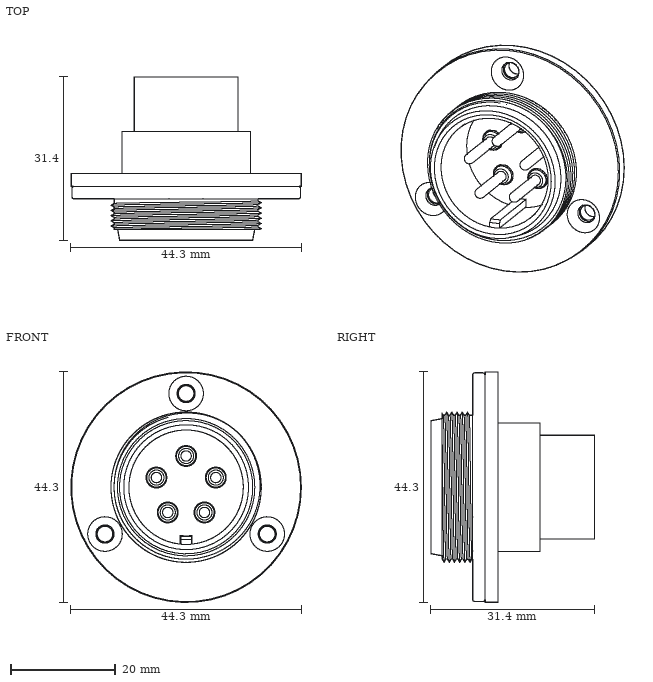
import cadquery as cq
import math

socket_rim_y = -8.0
thread_end_y = -5.87
front_disk_thickness = 2.4
rear_disk_thickness = 2.5
collar_length = 8.08
rear_disk_back_y = front_disk_thickness + rear_disk_thickness
collar_back_y = rear_disk_back_y + collar_length
overall_length = 31.43
body_back_y = socket_rim_y + overall_length

rear_disk_radius = 22.15
front_disk_radius = 22.0
front_disk_fillet = 0.45

collar_radius = 12.38
body_radius = 10.0

neck_radius = 13.85
nose_base_radius = 13.2
nose_rim_radius = 12.8
bore_radius = 11.0
bore_mouth_radius = 12.0
bore_mouth_depth = 1.0
bore_floor_y = 7.0

thread_pitch = 1.0
thread_crest_radius = 14.45
thread_base_width = 0.8
thread_root_overlap = 0.1
thread_start_y = -0.48
thread_start_angle = -90.0

top_angle = 90.0

mounting_hole_count = 3
mounting_circle_radius = 18.0
mounting_hole_diameter = 3.0
clearance_hole_diameter = 3.5
countersink_diameter = 6.65
countersink_angle = 90.0

pin_count = 5
pin_circle_radius = 6.0
pin_radius = 1.0
pin_tip_y = -6.5
pin_boss_radius = 1.85
pin_boss_height = 1.0
pin_boss_taper_width = 0.4
pin_boss_taper_length = 0.7

floor_clearance = 0.15
floor_clearance_depth = 0.5
clearance_bottom_y = bore_floor_y + floor_clearance_depth

key_width = 2.0
key_inner_radius = 9.5
key_root_radius = 12.0
key_chamfer = 0.55
key_front_y = socket_rim_y + bore_mouth_depth


def revolve_profile(profile):
    """Revolve a profile drawn as (radius, y) about the Y axis."""
    return profile.close().revolve(360, (0, 0, 0), (0, 1, 0))


def circle_position(radius, angle_degrees):
    """Point (x, z) at the given angle, measured from +X toward +Z."""
    angle = math.radians(angle_degrees)
    return radius * math.cos(angle), radius * math.sin(angle)


def cylinder_along_y(x, z, radius, start_y, end_y):
    return (
        cq.Workplane("XZ", origin=(x, start_y, z))
        .circle(radius)
        .extrude(start_y - end_y)
    )


def make_body():
    neck = revolve_profile(
        cq.Workplane("XY")
        .moveTo(0, socket_rim_y)
        .lineTo(nose_rim_radius, socket_rim_y)
        .lineTo(nose_base_radius, thread_end_y)
        .lineTo(neck_radius, thread_end_y)
        .lineTo(neck_radius, front_disk_thickness)
        .lineTo(0, front_disk_thickness)
    )
    front_disk = cylinder_along_y(0, 0, front_disk_radius, 0, front_disk_thickness)
    front_disk = front_disk.edges().fillet(front_disk_fillet)
    rear_disk = cylinder_along_y(0, 0, rear_disk_radius, front_disk_thickness, rear_disk_back_y)
    collar = cylinder_along_y(0, 0, collar_radius, rear_disk_back_y, collar_back_y)
    body = cylinder_along_y(0, 0, body_radius, collar_back_y, body_back_y)
    return rear_disk.union(front_disk).union(neck).union(collar).union(body)


def make_thread():
    """Helical ridge of triangular section, trimmed flat where the nose begins."""
    inner_radius = neck_radius - thread_root_overlap
    length = thread_start_y - thread_end_y + thread_pitch / 2
    half_width = thread_base_width / 2

    def section_helix(radius, axial_offset):
        helix = cq.Wire.makeHelix(thread_pitch, length, radius)
        return helix.translate(cq.Vector(0, 0, axial_offset))

    helices = [
        section_helix(inner_radius, -half_width),
        section_helix(thread_crest_radius, 0),
        section_helix(inner_radius, half_width),
    ]
    start_cap = cq.Wire.makePolygon([helix.startPoint() for helix in helices], close=True)
    end_cap = cq.Wire.makePolygon([helix.endPoint() for helix in helices], close=True)
    faces = [cq.Face.makeFromWires(start_cap), cq.Face.makeFromWires(end_cap)]
    for index, helix in enumerate(helices):
        faces.append(cq.Face.makeRuledSurface(helix, helices[index - 1]))
    ridge = cq.Workplane(cq.Solid.makeSolid(cq.Shell.makeShell(faces)))
    ridge = (
        ridge.rotate((0, 0, 0), (1, 0, 0), 90)
        .rotate((0, 0, 0), (0, 1, 0), -thread_start_angle)
        .translate((0, thread_start_y, 0))
    )
    trim = cylinder_along_y(0, 0, rear_disk_radius, thread_end_y, 0)
    return ridge.intersect(trim)


def make_bore():
    return revolve_profile(
        cq.Workplane("XY")
        .moveTo(0, socket_rim_y)
        .lineTo(bore_mouth_radius, socket_rim_y)
        .lineTo(bore_radius, socket_rim_y + bore_mouth_depth)
        .lineTo(bore_radius, bore_floor_y)
        .lineTo(0, bore_floor_y)
    )


def make_mounting_hole(x, z):
    countersink_radius = countersink_diameter / 2
    clearance_radius = clearance_hole_diameter / 2
    half_angle = math.radians(countersink_angle / 2)
    countersink_depth = (countersink_radius - clearance_radius) / math.tan(half_angle)
    hole = revolve_profile(
        cq.Workplane("XY")
        .lineTo(countersink_radius, 0)
        .lineTo(clearance_radius, countersink_depth)
        .lineTo(clearance_radius, front_disk_thickness)
        .lineTo(mounting_hole_diameter / 2, front_disk_thickness)
        .lineTo(mounting_hole_diameter / 2, rear_disk_back_y)
        .lineTo(0, rear_disk_back_y)
    )
    return hole.translate((x, 0, z))


def make_pin(x, z):
    """Round-nosed pin rising from a tapered boss on the bore floor."""
    nose_center_y = pin_tip_y + pin_radius
    boss_top_y = bore_floor_y - pin_boss_height
    nose_middle = circle_position(pin_radius, -45)
    pin = revolve_profile(
        cq.Workplane("XY")
        .moveTo(0, pin_tip_y)
        .threePointArc((nose_middle[0], nose_center_y + nose_middle[1]), (pin_radius, nose_center_y))
        .lineTo(pin_radius, boss_top_y)
        .lineTo(pin_boss_radius - pin_boss_taper_width, boss_top_y)
        .lineTo(pin_boss_radius, boss_top_y + pin_boss_taper_length)
        .lineTo(pin_boss_radius, clearance_bottom_y)
        .lineTo(0, clearance_bottom_y)
    )
    return pin.translate((x, 0, z))


def make_pin_clearance(x, z):
    radius = pin_boss_radius + floor_clearance
    return cylinder_along_y(x, z, radius, bore_floor_y, clearance_bottom_y)


def keep_bottom_strip(ring, width):
    """Keep only the part of a ring about Y that lies within the given width at its bottom."""
    strip = (
        cq.Workplane("XY")
        .box(width, overall_length, collar_radius, centered=(True, False, False))
        .translate((0, socket_rim_y, -collar_radius))
    )
    return ring.intersect(strip)


def make_key_clearance():
    inner_radius = key_inner_radius - floor_clearance
    ring = cylinder_along_y(0, 0, bore_radius, bore_floor_y, clearance_bottom_y)
    ring = ring.cut(cylinder_along_y(0, 0, inner_radius, bore_floor_y, clearance_bottom_y))
    return keep_bottom_strip(ring, key_width + 2 * floor_clearance)


def make_key():
    """Rib with its top concentric to the bore, bevelled at the front and rooted in the bore wall."""
    ring = revolve_profile(
        cq.Workplane("XY")
        .moveTo(key_root_radius, key_front_y)
        .lineTo(key_inner_radius + key_chamfer, key_front_y)
        .lineTo(key_inner_radius, key_front_y + key_chamfer)
        .lineTo(key_inner_radius, clearance_bottom_y)
        .lineTo(key_root_radius, clearance_bottom_y)
    )
    return keep_bottom_strip(ring, key_width)


result = make_body().union(make_thread()).cut(make_bore())

for index in range(mounting_hole_count):
    hole_angle = top_angle + index * 360 / mounting_hole_count
    hole_position = circle_position(mounting_circle_radius, hole_angle)
    result = result.cut(make_mounting_hole(*hole_position))

for index in range(pin_count):
    pin_angle = top_angle + index * 360 / pin_count
    pin_position = circle_position(pin_circle_radius, pin_angle)
    result = result.cut(make_pin_clearance(*pin_position))
    result = result.union(make_pin(*pin_position))

result = result.cut(make_key_clearance())
result = result.union(make_key())